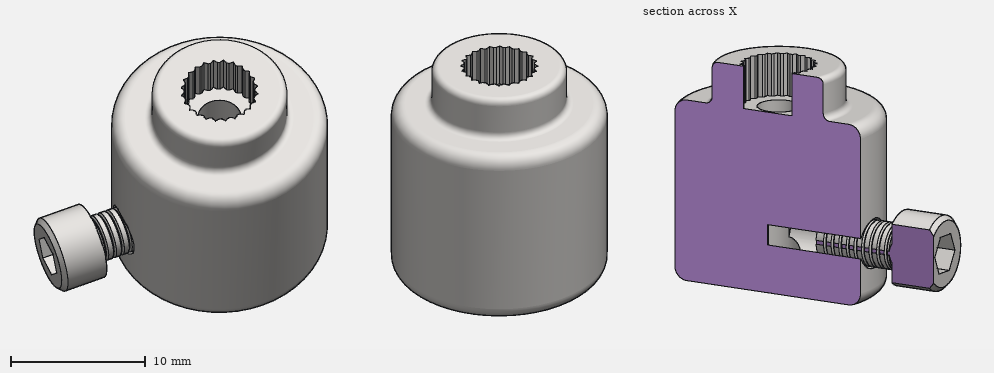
import cadquery as cq
import math

BODY_RADIUS = 8.0
BODY_HEIGHT = 14.0
BODY_FILLET = 1.0
TOTAL_HEIGHT = 17.25
TOTAL_LENGTH = 21.93
BOSS_RADIUS = 5.0
BOSS_FILLET = BODY_FILLET / 2
BORE_RADIUS = 1.6

SPLINE_TEETH = 24
SPLINE_TIP_RADIUS = 2.85
SPLINE_LAND_RADIUS = 2.63
SPLINE_LAND_ANGLE = 4.2
SPLINE_DEPTH = TOTAL_HEIGHT - BODY_HEIGHT

SCREW_HEIGHT = 4.5
SCREW_TURN = 4.8
SCREW_HOLE_RADIUS = 1.9
HEAD_FACE_Y = BODY_RADIUS - TOTAL_LENGTH
HEAD_RADIUS = 2.87
HEAD_LENGTH = 3.5
HEAD_CHAMFER = 0.35
SHANK_RADIUS = 1.75
SHANK_LENGTH = 6.35
NECK_RADIUS = 1.9
NECK_LENGTH = 0.25

THREAD_PITCH = 0.64
FIRST_GROOVE = 0.53
GROOVE_WIDTH = 0.25
GROOVE_DEPTH = 0.15

KEY_ACROSS_FLATS = 2.79
KEY_DEPTH = 1.6
KEY_CONE_ANGLE = 120.0


def body_with_boss():
    """Body and boss as plain stacked cylinders with rounded edges."""
    body = cq.Workplane("XY").circle(BODY_RADIUS).extrude(BODY_HEIGHT)
    body = body.faces("<Z or >Z").edges().fillet(BODY_FILLET)
    boss = cq.Workplane("XY").circle(BOSS_RADIUS).extrude(TOTAL_HEIGHT)
    boss = boss.faces(">Z").edges().fillet(BOSS_FILLET)
    return body.union(boss)


def boss_root_fillet():
    """Ring that blends the foot of the boss into the top of the body."""
    outer = BOSS_RADIUS + BOSS_FILLET
    top = BODY_HEIGHT + BOSS_FILLET
    reach = BOSS_FILLET * (1 - math.sqrt(0.5))
    inner = BOSS_RADIUS - BOSS_FILLET
    return (
        cq.Workplane("XZ")
        .moveTo(inner, BODY_HEIGHT)
        .lineTo(outer, BODY_HEIGHT)
        .threePointArc((BOSS_RADIUS + reach, BODY_HEIGHT + reach), (BOSS_RADIUS, top))
        .lineTo(inner, top)
        .close()
        .revolve(360, (0, 0, 0), (0, 1, 0))
    )


def ring_point(radius, degrees):
    """Point on a circle about the origin."""
    angle = math.radians(degrees)
    return (radius * math.cos(angle), radius * math.sin(angle))


def spline_socket():
    """Prism with V-shaped grooves that are parted by narrow lands."""
    tooth_angle = 360 / SPLINE_TEETH
    corners = []
    for tooth in range(SPLINE_TEETH):
        tip = tooth * tooth_angle
        land = tip + tooth_angle / 2
        corners.append(ring_point(SPLINE_TIP_RADIUS, tip))
        corners.append(ring_point(SPLINE_LAND_RADIUS, land - SPLINE_LAND_ANGLE / 2))
        corners.append(ring_point(SPLINE_LAND_RADIUS, land + SPLINE_LAND_ANGLE / 2))
    floor = TOTAL_HEIGHT - SPLINE_DEPTH
    return cq.Workplane("XY", origin=(0, 0, floor)).polyline(corners).close().extrude(SPLINE_DEPTH)


def screw_hole():
    """Clearance hole from the -Y side of the body into the bore."""
    return cq.Workplane("XZ", origin=(0, 0, SCREW_HEIGHT)).circle(SCREW_HOLE_RADIUS).extrude(BODY_RADIUS)


def make_housing():
    bore = cq.Workplane("XY").circle(BORE_RADIUS).extrude(TOTAL_HEIGHT)
    housing = body_with_boss().union(boss_root_fillet())
    return housing.cut(bore).cut(spline_socket()).cut(screw_hole())


def screw_blank():
    """Head, tapered neck and grooved shank, turned about Z with the head face at z = 0."""
    outline = [
        (0, 0),
        (HEAD_RADIUS - HEAD_CHAMFER, 0),
        (HEAD_RADIUS, HEAD_CHAMFER),
        (HEAD_RADIUS, HEAD_LENGTH),
        (NECK_RADIUS, HEAD_LENGTH),
        (SHANK_RADIUS, HEAD_LENGTH + NECK_LENGTH),
    ]
    groove_count = int((SHANK_LENGTH - FIRST_GROOVE) / THREAD_PITCH)
    for groove in range(groove_count):
        centre = HEAD_LENGTH + FIRST_GROOVE + groove * THREAD_PITCH
        outline.append((SHANK_RADIUS, centre - GROOVE_WIDTH / 2))
        outline.append((SHANK_RADIUS - GROOVE_DEPTH, centre))
        outline.append((SHANK_RADIUS, centre + GROOVE_WIDTH / 2))
    tip = HEAD_LENGTH + SHANK_LENGTH
    outline.append((SHANK_RADIUS, tip))
    outline.append((0, tip))
    return cq.Workplane("XZ").polyline(outline).close().revolve(360, (0, 0, 0), (0, 1, 0))


def key_socket():
    """Hexagonal recess ending in a drilled cone."""
    inscribed_radius = KEY_ACROSS_FLATS / 2
    corner_diameter = KEY_ACROSS_FLATS / math.cos(math.pi / 6)
    hexagon = cq.Workplane("XY").polygon(6, corner_diameter).extrude(KEY_DEPTH)
    cone_height = inscribed_radius / math.tan(math.radians(KEY_CONE_ANGLE / 2))
    cone = cq.Solid.makeCone(inscribed_radius, 0, cone_height, pnt=cq.Vector(0, 0, KEY_DEPTH))
    return hexagon.union(cq.Workplane(cone))


def make_screw():
    screw = screw_blank().cut(key_socket())
    turned = screw.rotate((0, 0, 0), (0, 0, 1), SCREW_TURN)
    lying = turned.rotate((0, 0, 0), (1, 0, 0), -90)
    return lying.translate((0, HEAD_FACE_Y, SCREW_HEIGHT))


housing = make_housing()
screw = make_screw()

result = cq.Compound.makeCompound([housing.val(), screw.val()])